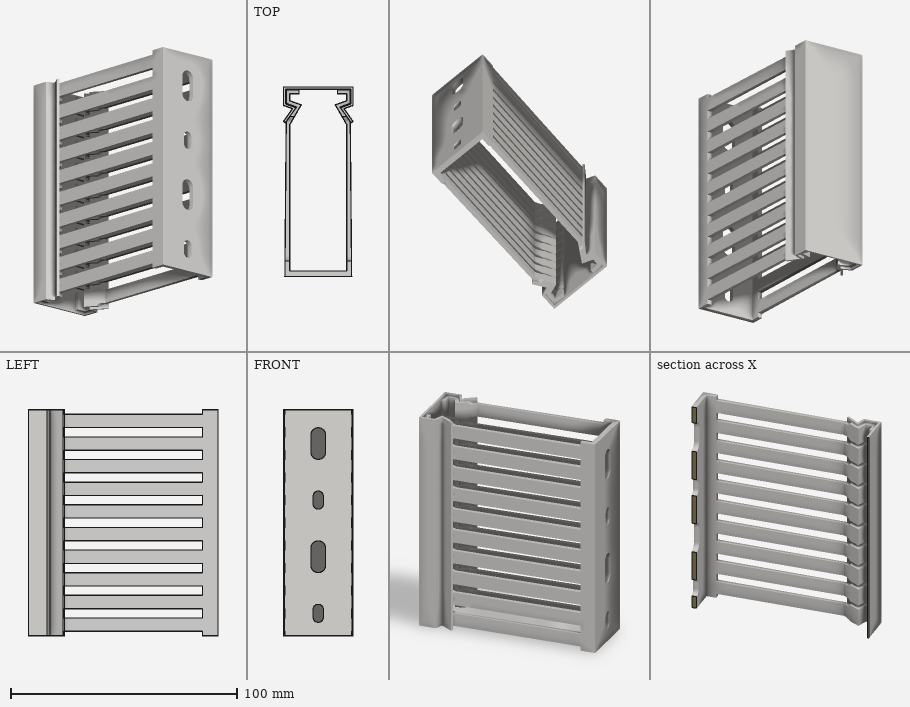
import cadquery as cq
import math

LENGTH = 100.0
TOTAL_DEPTH = 83.8

COVER_HALF_WIDTH = 15.4
COVER_THICKNESS = 1.05
COVER_SIDE_END_Y = 75.6
CATCH_ANGLE = 20.0
CATCH_WIDTH = 3.95
LEAD_ANGLE = 55.0

BASE_HALF_WIDTH = 14.8
FLOOR_THICKNESS = 2.5
CAVITY_HALF_WIDTH = 12.5
FINGER_TOP_HALF_WIDTH = 14.2

HOOK_END_X = 8.4
HOOK_THICKNESS = 1.8
HOOK_CLEARANCE = 0.2
BARB_TIP_X = 7.5
BARB_TIP_Y = 75.9
BARB_ROOT_Y = 77.7
FINGER_BEND_Y = 67.2

GAP_PITCH = 10.0
GAP_ROOT_Y = 7.0
GAP_WIDTH = 4.0
GAP_END_Y = 71.1
HEAD_GAP_WIDTH = 2.0

SLOT_PITCH = 50.0
LARGE_SLOT_LENGTH = 14.0
LARGE_SLOT_WIDTH = 6.5
LARGE_SLOT_FIRST_Z = 35.0
SMALL_SLOT_LENGTH = 8.0
SMALL_SLOT_WIDTH = 4.5
SMALL_SLOT_FIRST_Z = 10.0


def mirrored(points):
    """The points reflected across X = 0, in reverse order."""
    return [(-x, y) for x, y in reversed(points)]


def offset_path(points, distance):
    """The open path moved to its right by a distance, with mitred corners and square ends."""
    normals = []
    for (x0, y0), (x1, y1) in zip(points, points[1:]):
        span = math.hypot(x1 - x0, y1 - y0)
        normals.append(((y1 - y0) / span, (x0 - x1) / span))
    moved = []
    for (x, y), before, after in zip(points, normals[:1] + normals, normals + normals[-1:]):
        mitre = distance / (1 + before[0] * after[0] + before[1] * after[1])
        moved.append((x + mitre * (before[0] + after[0]), y + mitre * (before[1] + after[1])))
    return moved


def extruded(outline):
    return cq.Workplane("XY").polyline(outline).close().extrude(LENGTH)


catch_x = COVER_HALF_WIDTH - CATCH_WIDTH
catch_y = COVER_SIDE_END_Y - CATCH_WIDTH * math.tan(math.radians(CATCH_ANGLE))
lead_tip_y = catch_y - CATCH_WIDTH * math.tan(math.radians(LEAD_ANGLE))
cover_right = [
    (COVER_HALF_WIDTH, TOTAL_DEPTH),
    (COVER_HALF_WIDTH, COVER_SIDE_END_Y),
    (catch_x, catch_y),
    (COVER_HALF_WIDTH, lead_tip_y),
]
cover_outside = mirrored(cover_right) + cover_right
cover_inside = offset_path(cover_outside, COVER_THICKNESS)


def make_cover():
    return extruded(cover_outside + cover_inside[::-1])


def base_side():
    """Right half of the base outline, from the inner floor corner round to the outer floor corner."""
    cleared = offset_path(cover_outside, COVER_THICKNESS + HOOK_CLEARANCE)
    back, side_end = cleared[len(cover_right):-2]
    hook_front_y = back[1] - HOOK_THICKNESS
    cover_catch_x, cover_catch_y = cover_inside[-2]
    lead = math.radians(LEAD_ANGLE)
    rise_along_lead = HOOK_CLEARANCE / math.sin(lead + math.radians(CATCH_ANGLE))
    catch = (
        cover_catch_x - rise_along_lead * math.cos(lead),
        cover_catch_y + rise_along_lead * math.sin(lead),
    )
    bend_outer_y = cover_catch_y - (FINGER_TOP_HALF_WIDTH - cover_catch_x) * math.tan(lead)
    return [
        (CAVITY_HALF_WIDTH, FLOOR_THICKNESS),
        (CAVITY_HALF_WIDTH, FINGER_BEND_Y),
        (BARB_TIP_X, BARB_TIP_Y),
        (CAVITY_HALF_WIDTH, BARB_ROOT_Y),
        (CAVITY_HALF_WIDTH, hook_front_y),
        (HOOK_END_X, hook_front_y),
        (HOOK_END_X, back[1]),
        back,
        side_end,
        catch,
        (FINGER_TOP_HALF_WIDTH, bend_outer_y),
        (BASE_HALF_WIDTH, 0),
    ]


def finger_gap(z):
    """Cutter for one gap through both walls: round-ended, then narrower between the heads."""
    radius = GAP_WIDTH / 2
    wide = (
        cq.Workplane("YZ")
        .moveTo(GAP_ROOT_Y, z - radius)
        .lineTo(GAP_END_Y - radius, z - radius)
        .threePointArc((GAP_END_Y, z), (GAP_END_Y - radius, z + radius))
        .lineTo(GAP_ROOT_Y, z + radius)
        .close()
        .extrude(BASE_HALF_WIDTH, both=True)
    )
    narrow = cq.Workplane("XY").box(
        2 * BASE_HALF_WIDTH, TOTAL_DEPTH - GAP_ROOT_Y, HEAD_GAP_WIDTH, centered=(True, False, True)
    )
    return wide.union(narrow.translate((0, GAP_ROOT_Y, z)))


def floor_slots(first_z, length, width):
    """Cutter for a pair of slots along Z through the floor."""
    return (
        cq.Workplane("XZ")
        .pushPoints([(0, first_z), (0, first_z + SLOT_PITCH)])
        .slot2D(length, width, 90)
        .extrude(-FLOOR_THICKNESS)
    )


def make_base():
    side = base_side()
    base = extruded(side + mirrored(side))
    for index in range(round(LENGTH / GAP_PITCH) + 1):
        base = base.cut(finger_gap(index * GAP_PITCH))
    base = base.cut(floor_slots(LARGE_SLOT_FIRST_Z, LARGE_SLOT_LENGTH, LARGE_SLOT_WIDTH))
    return base.cut(floor_slots(SMALL_SLOT_FIRST_Z, SMALL_SLOT_LENGTH, SMALL_SLOT_WIDTH))


cover = make_cover()
base = make_base()
result = cq.Compound.makeCompound([cover.val(), base.val()])